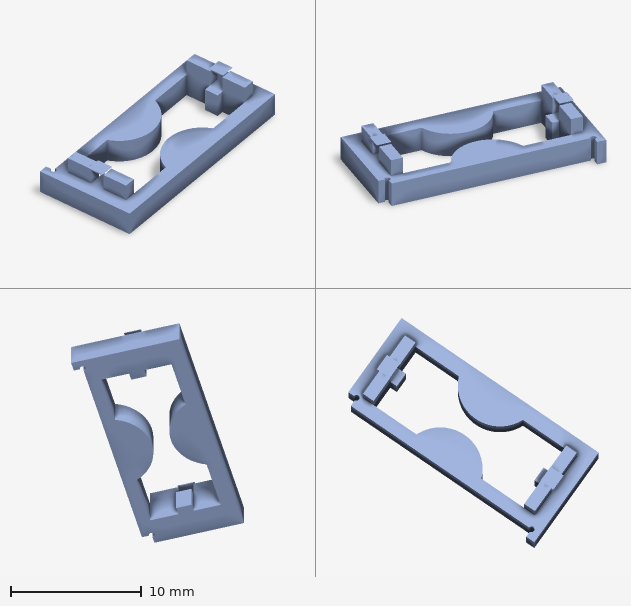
import cadquery as cq

length = 18.4
width = 8.6
frame_height = 2.0
foot_length = 0.72
step_width = 0.77
foot_depth = 0.75
relief_radius = 0.22

left_wall = 1.05
right_wall = 1.23
end_wall = 2.17
window_left = foot_length + left_wall
window_right = width - right_wall

lobe_radius = 3.24
lobe_gap = 1.5

axis_x = 4.6
post_gap = 1.21
post_depth = 1.0
post_height = 1.4
tab_depth = 0.6

lens_width = 1.36
lens_length = 1.21
lens_sag = 0.11
lens_top = 3.6


def box(x_min, x_max, y_min, y_max, z_min, z_max):
    """Axis-aligned block between the given limits."""
    return cq.Workplane("XY").box(
        x_max - x_min, y_max - y_min, z_max - z_min, centered=False
    ).translate((x_min, y_min, z_min))


def upright_cylinder(x, y, radius):
    """Cylinder through the full frame height."""
    return cq.Workplane("XY").center(x, y).circle(radius).extrude(frame_height)


def mirror_to_far_end(shape):
    """Copy of an end feature, reflected about the middle of the length."""
    return shape.mirror("XZ", (0, length / 2, 0))


def make_base():
    """Stepped outline with a rectangular window and two round lobes."""
    outline = [
        (0, 0),
        (width, 0),
        (width, length),
        (foot_length + step_width, length),
        (foot_length + step_width, length - step_width),
        (foot_length, length - step_width),
        (foot_length, foot_depth),
        (0, foot_depth),
    ]
    base = cq.Workplane("XY").polyline(outline).close().extrude(frame_height)
    window = box(window_left, window_right, end_wall, length - end_wall, 0, frame_height)
    lobe_offset = lobe_gap / 2 + lobe_radius
    for side in (-1, 1):
        window = window.cut(upright_cylinder(axis_x + side * lobe_offset, length / 2, lobe_radius))
    base = base.cut(window)

    base = base.cut(upright_cylinder(foot_length, foot_depth, relief_radius))
    return base.cut(upright_cylinder(foot_length + step_width, length - step_width, relief_radius))


def make_end_features():
    """Two posts flush with the window edge and a tab reaching into the window."""
    gap_left = axis_x - post_gap / 2
    gap_right = axis_x + post_gap / 2
    post_outer = end_wall - post_depth
    post_top = frame_height + post_height
    left_post = box(window_left, gap_left, post_outer, end_wall, frame_height, post_top)
    right_post = box(gap_right, window_right, post_outer, end_wall, frame_height, post_top)
    tab = box(gap_left, gap_right, end_wall, end_wall + tab_depth, 0, frame_height)
    return [left_post, right_post, tab]


def make_frame():
    """Base, posts and tabs as one solid."""
    frame = make_base()
    for feature in make_end_features():
        frame = frame.union(feature).union(mirror_to_far_end(feature))
    return frame


def make_lens(y_min):
    """Sliver with a flat top and a cylindrical underside, running along Y."""
    return (
        cq.Workplane("XZ", origin=(axis_x, y_min, lens_top))
        .moveTo(-lens_width / 2, 0)
        .threePointArc((0, -lens_sag), (lens_width / 2, 0))
        .close()
        .extrude(-lens_length)
    )


frame = make_frame()
lens_starts = (end_wall - lens_length, length - end_wall)
lenses = [make_lens(y_min) for y_min in lens_starts]

result = cq.Compound.makeCompound([frame.val(), *[lens.val() for lens in lenses]])